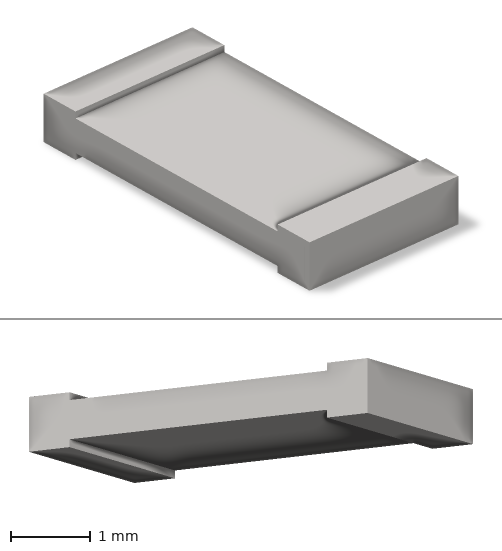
import cadquery as cq

length = 5.0
width = 2.5
height = 0.7
cap_thickness = 0.1
cap_reach = 0.6

core_length = length - 2 * cap_thickness
core_height = height - 2 * cap_thickness


def make_core():
    """Flat block centred on the origin."""
    return cq.Workplane("XY").box(core_length, width, core_height)


def make_end_cap(side, core):
    """C-shaped cap wrapped around one end of the core; side is -1 or 1 along X."""
    centre_x = side * (length - cap_reach) / 2
    block = cq.Workplane("XY").box(cap_reach, width, height).translate((centre_x, 0, 0))
    return block.cut(core)


core = make_core()
end_caps = [make_end_cap(side, core) for side in (-1, 1)]

result = cq.Compound.makeCompound([core.val(), *[cap.val().Solids()[0] for cap in end_caps]])